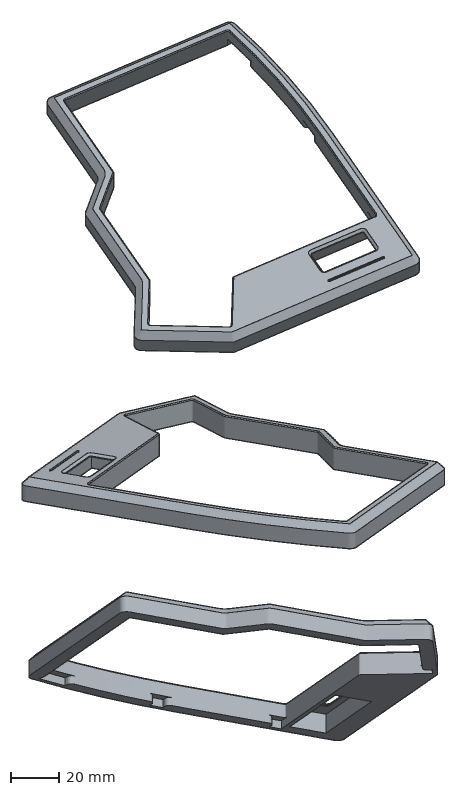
import cadquery as cq
import math

length = 149.7
width = 123.2
height = 9.9
rail_width = 6.0
corner_radius = 3.1
outer_chamfer = 3.0
inner_radius = 0.82
inner_chamfer = 0.5

bow_radius = 312.9
bow_end_x = 72.2
seam_tolerance = 0.01
step_start_x = 46.9
step_drop = 14.0
low_end_x = 104.8
tip_x = 129.0
tip_slope = math.radians(30)
tip_sin, tip_cos = math.sin(tip_slope), math.cos(tip_slope)
tip_tan = math.tan(tip_slope)

tip_y = -corner_radius * (tip_sin + tip_cos - 1)
low_y = tip_y + (tip_x - low_end_x) * tip_tan
front_y = low_y + step_drop

panel_left_x = 121.1
panel_corner_y = 49.7

window_width = 11.2
window_length = 24.9
window_x = 130.8
window_y = 96.4
window_bevel = 1.0
window_radius = 0.82

panel_thickness = 1.5
recess_left_x = 123.0
recess_right_x = 139.8

slot_width = 1.0
slot_length = 26.5
slot_x = 142.0
slot_depth = 0.7

notch_height = 3.6
notch_depth = 3.9
notch_round = 2.0
notch_overlap = 1.5
left_notch_end_x = 21.1
middle_notch_start_x = 58.2
middle_notch_end_x = 68.3
panel_notch_start_x = 113.6
leg_notch_length = 6.1


def bow_y(x, radius):
    """Y of a bow of the given radius that shares the outer bow's center."""
    return width - bow_radius + math.sqrt(radius**2 - (x - bow_end_x) ** 2)


def frame_outline(inset, right_side):
    """Frame outline moved inward by inset; right_side lists its points up the right side."""
    turn_45 = inset * math.tan(math.radians(22.5))
    turn_30 = inset * math.tan(tip_slope / 2)
    left_y = bow_y(inset, bow_radius - inset)
    middle_x = (inset + bow_end_x) / 2
    return (
        cq.Workplane("XY")
        .moveTo(inset, left_y)
        .lineTo(inset, front_y + inset)
        .lineTo(step_start_x + turn_45, front_y + inset)
        .lineTo(step_start_x + step_drop + turn_45, low_y + inset)
        .lineTo(low_end_x + turn_30, low_y + inset)
        .lineTo(tip_x + inset * (tip_sin - tip_cos), tip_y + inset * (tip_sin + tip_cos))
        .polyline(right_side, includeCurrent=True)
        .lineTo(bow_end_x, width - inset)
        .threePointArc((middle_x, bow_y(middle_x, bow_radius - inset)), (inset, left_y))
        .close()
    )


def leg_y(x, inset):
    """Y of the right leg's edge at x, moved inward by inset."""
    return tip_y + (x - tip_x) / tip_tan + inset / tip_sin


def off_bow_seam(edge):
    """True for upright edges other than the smooth join at the end of the bow."""
    return abs(edge.Center().x - bow_end_x) > seam_tolerance


def upright_edges(body):
    """Vertical edges of a prism that mark real corners of its outline."""
    return body.edges("|Z").filter(off_bow_seam)


panel_end_x = (panel_corner_y + panel_left_x * tip_tan - leg_y(0, rail_width)) / (tip_tan + 1 / tip_tan)
panel_end_y = leg_y(panel_end_x, rail_width)


def frame_body():
    """Solid block with rounded corners and a chamfered top, before any cutouts."""
    outer_right = [(length, leg_y(length, 0)), (length, width)]
    body = frame_outline(0, outer_right).extrude(height)
    body = upright_edges(body).fillet(corner_radius)
    return body.faces(">Z").edges().chamfer(outer_chamfer)


def opening():
    """Cutter for the large opening inside the rails."""
    inner_right = [
        (panel_end_x, panel_end_y),
        (panel_left_x, panel_corner_y),
        (panel_left_x, width - rail_width),
    ]
    hole = frame_outline(rail_width, inner_right).extrude(height)
    return upright_edges(hole).fillet(inner_radius)


def notch(start, end, round_start=True, round_end=True):
    """Notch cutter on the rail face from start to end; the rail lies left of that direction."""
    span = math.hypot(end[0] - start[0], end[1] - start[1])
    angle = math.degrees(math.atan2(end[1] - start[1], end[0] - start[0]))
    profile = cq.Workplane("XY").moveTo(0, -notch_overlap).lineTo(0, 0)
    if round_start:
        profile = profile.radiusArc((notch_round, notch_round), -notch_round)
        profile = profile.lineTo(notch_round, notch_depth)
    else:
        profile = profile.lineTo(0, notch_depth)
    if round_end:
        profile = profile.lineTo(span - notch_round, notch_depth)
        profile = profile.lineTo(span - notch_round, notch_round)
        profile = profile.radiusArc((span, 0), -notch_round)
    else:
        profile = profile.lineTo(span, notch_depth).lineTo(span, 0)
    cutter = profile.lineTo(span, -notch_overlap).close().extrude(notch_height)
    return cutter.rotate((0, 0, 0), (0, 0, 1), angle).translate((start[0], start[1], 0))


def back_face(x):
    """Point on the inner face of the back rail."""
    if x > bow_end_x:
        return (x, width - rail_width)
    return (x, bow_y(x, bow_radius - rail_width))


def notches():
    """Three notches along the back rail and one in the right leg, beside the panel."""
    leg_end = (
        panel_end_x - leg_notch_length * tip_sin,
        panel_end_y - leg_notch_length * tip_cos,
    )
    left = notch(back_face(rail_width), back_face(left_notch_end_x), round_start=False)
    middle = notch(back_face(middle_notch_start_x), back_face(middle_notch_end_x))
    panel = notch(back_face(panel_notch_start_x), back_face(panel_left_x), round_end=False)
    leg = notch((panel_end_x, panel_end_y), leg_end, round_start=False)
    return [left, middle, panel, leg]


def window():
    """Straight cutter for the panel window."""
    hole = (
        cq.Workplane("XY")
        .center(window_x, window_y)
        .rect(window_width, window_length)
        .extrude(height)
    )
    return hole.edges("|Z").fillet(window_radius)


def recess():
    """Cutter that thins the panel around the window from below."""
    half_length = width - rail_width - window_y
    return (
        cq.Workplane("XY")
        .center((recess_left_x + recess_right_x) / 2, window_y)
        .rect(recess_right_x - recess_left_x, 2 * half_length)
        .extrude(height - panel_thickness)
    )


def slot():
    """Cutter for the shallow round-ended light slot."""
    return (
        cq.Workplane("XY", origin=(slot_x, window_y, height - slot_depth))
        .slot2D(slot_length, slot_width, 90)
        .extrude(slot_depth)
    )


def bevel_largest_rim(body, size):
    """Bevel the top edges around the longest-rimmed cutout."""
    rims = body.faces(">Z").val().innerWires()
    rim = max(rims, key=lambda wire: wire.Length())
    return body.newObject(rim.Edges()).chamfer(size)


result = bevel_largest_rim(frame_body().cut(window()), window_bevel)
result = bevel_largest_rim(result.cut(opening()), inner_chamfer)
for notch_cutter in notches():
    result = result.cut(notch_cutter)
result = result.cut(recess()).cut(slot())